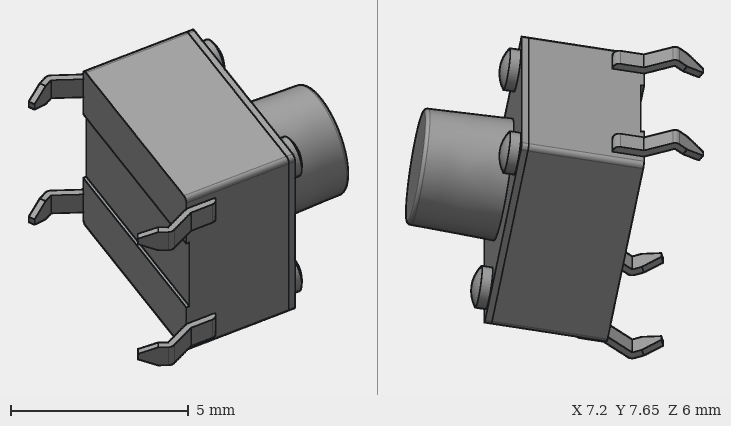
import cadquery as cq
import math


OVERALL_LENGTH = 7.65

SIDE = 6.0
HALF = SIDE / 2
COVER_TOP = 3.495
COVER_THICKNESS = 0.2
BASE_HEIGHT = COVER_TOP - COVER_THICKNESS
CORNER_RADIUS = 0.15
CHANNEL_WIDTH = 2.495
CHANNEL_DEPTH = 0.1

PLUNGER_TOP = 6.0
PLUNGER_ROOT_RADIUS = 1.74
PLUNGER_TIP_RADIUS = 1.65
PLUNGER_EDGE_RADIUS = 0.115

STUD_PITCH = 4.5
STUD_RADIUS = 0.6
STUD_WALL = 0.3
STUD_DOME = 0.2

TERMINAL_SPAN = 7.2
TERMINAL_PITCH = 4.5
TERMINAL_THICKNESS = 0.2
TERMINAL_WIDTH = 0.71
TERMINAL_TOP = 0.92
ELBOW_Y = -0.8
LOWER_ANGLE = math.radians(28)
TIP_WIDTH = 0.215
TAPER_LENGTH = 0.57


def square_block(bottom, height):
    """Square block with its four edges along Y rounded."""
    block = cq.Workplane("XY").box(SIDE, height, SIDE).edges("|Y").fillet(CORNER_RADIUS)
    return block.translate((0, bottom + height / 2, 0))


def make_base():
    channel = cq.Workplane("XY").box(SIDE, 2 * CHANNEL_DEPTH, CHANNEL_WIDTH)
    return square_block(0, BASE_HEIGHT).cut(channel)


def make_plunger():
    cone = cq.Solid.makeCone(
        PLUNGER_ROOT_RADIUS,
        PLUNGER_TIP_RADIUS,
        PLUNGER_TOP - COVER_TOP,
        cq.Vector(0, COVER_TOP, 0),
        cq.Vector(0, 1, 0),
    )
    return cq.Workplane(cone).faces(">Y").edges().fillet(PLUNGER_EDGE_RADIUS)


def make_stud():
    """Cylinder capped by part of a sphere, on the cover top at X = Z = 0."""
    dome_radius = (STUD_RADIUS**2 + STUD_DOME**2) / (2 * STUD_DOME)
    wall_top = COVER_TOP + STUD_WALL
    return (
        cq.Workplane("XY")
        .moveTo(0, COVER_TOP)
        .lineTo(STUD_RADIUS, COVER_TOP)
        .lineTo(STUD_RADIUS, wall_top)
        .radiusArc((0, wall_top + STUD_DOME), -dome_radius)
        .close()
        .revolve(360, (0, 0), (0, 1))
    )


def make_cover():
    """Flat cover plate carrying the plunger and the four studs."""
    cover = square_block(BASE_HEIGHT, COVER_THICKNESS).union(make_plunger())
    stud = make_stud()
    for x in (-STUD_PITCH / 2, STUD_PITCH / 2):
        for z in (-STUD_PITCH / 2, STUD_PITCH / 2):
            cover = cover.union(stud.translate((x, 0, z)))
    return cover


def make_terminal():
    """Bent strip on the +X side, centred on Z = 0: down the side, outward, then back inward."""
    t = TERMINAL_THICKNESS
    elbow_x = TERMINAL_SPAN / 2 - t
    upper_angle = math.atan2(elbow_x - HALF, -ELBOW_Y)
    upper_outward = (math.cos(upper_angle), math.sin(upper_angle))
    lower_outward = (math.cos(LOWER_ANGLE), -math.sin(LOWER_ANGLE))
    knee_y = t * math.tan(upper_angle / 2)
    tip_y = PLUNGER_TOP - OVERALL_LENGTH + t * math.sin(LOWER_ANGLE)
    tip_x = elbow_x - (ELBOW_Y - tip_y) * math.tan(LOWER_ANGLE)

    strip = (
        cq.Workplane("XY")
        .workplane(offset=-TERMINAL_WIDTH / 2)
        .moveTo(HALF, TERMINAL_TOP)
        .lineTo(HALF, 0)
        .lineTo(elbow_x, ELBOW_Y)
        .lineTo(tip_x, tip_y)
        .lineTo(tip_x + t * lower_outward[0], tip_y + t * lower_outward[1])
        .lineTo(elbow_x + t * lower_outward[0], ELBOW_Y + t * lower_outward[1])
        .threePointArc(
            (elbow_x + t, ELBOW_Y),
            (elbow_x + t * upper_outward[0], ELBOW_Y + t * upper_outward[1]),
        )
        .lineTo(HALF + t, knee_y)
        .lineTo(HALF + t, TERMINAL_TOP - t)
        .radiusArc((HALF, TERMINAL_TOP), -t)
        .close()
        .extrude(TERMINAL_WIDTH)
    )

    tip_plane = cq.Plane(
        origin=(tip_x, tip_y, 0),
        xDir=(math.sin(LOWER_ANGLE), math.cos(LOWER_ANGLE), 0),
        normal=(*lower_outward, 0),
    )
    for side in (-1, 1):
        corner = (
            cq.Workplane(tip_plane)
            .moveTo(0, side * TIP_WIDTH / 2)
            .lineTo(TAPER_LENGTH, side * TERMINAL_WIDTH / 2)
            .lineTo(0, side * TERMINAL_WIDTH / 2)
            .close()
            .extrude(t)
        )
        strip = strip.cut(corner)
    return strip


def make_terminals():
    right_terminal = make_terminal()
    left_terminal = right_terminal.mirror("YZ")
    terminals = []
    for terminal in (left_terminal, right_terminal):
        for z in (-TERMINAL_PITCH / 2, TERMINAL_PITCH / 2):
            terminals.append(terminal.translate((0, 0, z)).solids().val())
    return terminals


base = make_base()
cover = make_cover()
terminals = make_terminals()

result = cq.Compound.makeCompound([base.solids().val(), cover.solids().val(), *terminals])